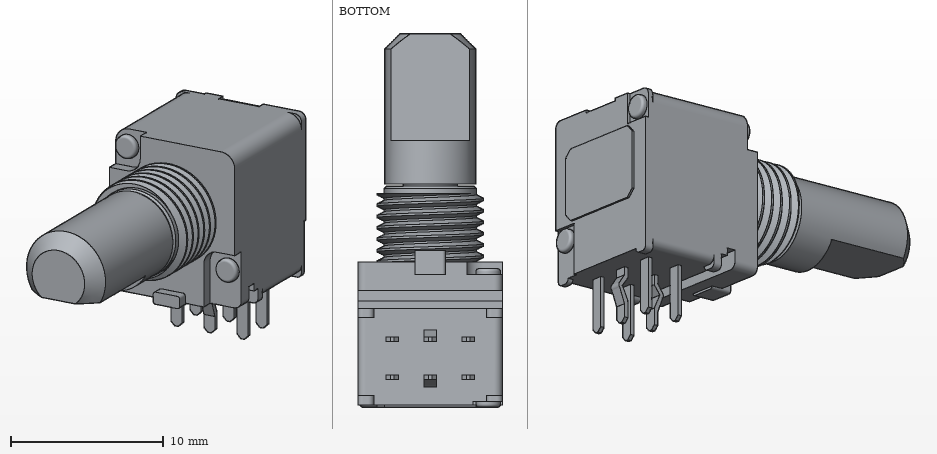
import cadquery as cq
import math


width = 9.5
half_width = width / 2
top_z = 4.84
bottom_z = -6.24
rear_y = 9.4
top_radius = 1.03
small_radius = 0.52
rear_band = 0.6
band_front_y = rear_y - rear_band

front_gap_y = 1.9
gap_step_y = 2.55
rear_gap_y = 3.05
front_gap_top = -4.98
rear_gap_top = -5.5
foot_length = 0.61
foot_width = 1.05
foot_drop = 0.32
foot_radius = 0.35

top_notch_width = 3.05
top_notch_depth = 0.2
rear_plate_height = 0.15
rear_plate_width = 7.02
rear_plate_length = 4.98
rear_plate_chamfer = 0.52
rear_pocket_x = 2.82
rear_pocket_z = 2.7
rear_pocket_depth = 0.22

rivet_x = 3.8
rivet_z = 3.63
rivet_radius = 0.8
rivet_rounding = 0.2
front_rivet_height = 0.4
front_pocket_x = 2.4
front_pocket_z = 2.23
front_pocket_depth = 0.83
pocket_radius = 1.03

key_width = 2.01
key_top = -5.55
key_bottom = -6.4
key_front_y = -0.74
key_rounding = 0.2

bushing_radius = 3.05
bushing_end_y = -4.98
bushing_chamfer = 0.17
thread_radius = 3.5
thread_length = 4.5
thread_turns = 6
thread_pitch = thread_length / thread_turns
thread_end_y = -thread_length
thread_first_crest = 0.37
thread_base_width = 0.66
thread_crest_width = 0.15
thread_overlap = 0.05

shaft_radius = 3.0
shaft_tip_y = -15.0
shaft_start_y = -5.1
shaft_chamfer = 1.0
neck_radius = 1.8
flat_z = -1.52
flat_start_y = -7.98

pin_pitch = 2.5
pin_width = 0.83
pin_thickness = 0.3
pin_front_y = 5.08
pin_rear_y = pin_front_y + pin_pitch
pin_bottom = -10.02
pin_tip_chamfer = 0.3
pin_root_depth = 0.25

kink_offset = 0.47
kink_top = -6.8
kink_bottom = -8.81
kink_inner_top = -6.95
kink_inner_bottom = -8.57
kink_peak_z = -7.55
kink_arc_half_length = 0.2
kink_arc_rise = 0.07

joint = 0.25


def box(x_range, y_range, z_range):
    """Box between the given limits."""
    (x0, x1), (y0, y1), (z0, z1) = x_range, y_range, z_range
    return cq.Workplane("XY").box(x1 - x0, y1 - y0, z1 - z0, centered=False).translate((x0, y0, z0))


def cylinder_y(radius, front_y, back_y):
    """Cylinder on the Y axis between two Y positions."""
    return cq.Workplane("XZ", origin=(0, back_y, 0)).circle(radius).extrude(back_y - front_y)


def half_turn(shape):
    """Copy of the shape turned half way round the shaft axis."""
    return shape.rotate((0, 0, 0), (0, 1, 0), 180)


def make_housing():
    across = (-half_width, half_width)
    upright = (bottom_z, top_z)
    main = box(across, (0, band_front_y), upright)
    main = main.edges("|Y and >Z").fillet(top_radius).edges("|Y and <Z").fillet(small_radius)
    band = box(across, (band_front_y, rear_y), upright).edges("|Y").fillet(small_radius)
    housing = main.union(band)

    for gap_front, gap_back, gap_top in (
        (front_gap_y, gap_step_y, front_gap_top),
        (gap_step_y, rear_gap_y, rear_gap_top),
    ):
        housing = housing.cut(box((-width, width), (gap_front, gap_back), (bottom_z - joint, gap_top)))

    top_notch = box(
        (-top_notch_width / 2, top_notch_width / 2),
        (band_front_y, rear_y),
        (top_z - top_notch_depth, top_z),
    )
    return housing.cut(top_notch)


def make_feet():
    feet = cq.Workplane("XY")
    foot_bottom = bottom_z - foot_drop
    for foot_front in (rear_gap_y, rear_y - foot_length):
        for left in (-half_width, half_width - foot_width):
            foot = box(
                (left, left + foot_width),
                (foot_front, foot_front + foot_length),
                (foot_bottom, bottom_z + small_radius),
            )
            feet = feet.union(foot.edges("|Y and <Z").fillet(foot_radius))
    return feet


def make_front_pocket():
    """Corner pocket on the -X, +Z side of the front face."""
    pocket = box((-width, -front_pocket_x), (0, front_pocket_depth), (front_pocket_z, width))
    return pocket.edges("|Y and >X and <Z").fillet(pocket_radius)


def make_front_pocket_pair():
    upper = make_front_pocket()
    return upper.union(half_turn(upper))


def make_rear_pocket_pair():
    upper = box((-width, -rear_pocket_x), (rear_y - rear_pocket_depth, rear_y), (rear_pocket_z, width))
    return upper.union(half_turn(upper))


def make_rivets():
    front_top_y = front_pocket_depth - front_rivet_height
    rear_top_y = rear_y + rear_plate_height
    rivet = cylinder_y(rivet_radius, front_top_y, rear_top_y).edges().fillet(rivet_rounding)
    rivet = rivet.translate((-rivet_x, 0, rivet_z))
    return rivet.union(half_turn(rivet))


def make_rear_plate():
    plate = cq.Workplane("XZ", origin=(0, rear_y - rear_pocket_depth, 0))
    plate = plate.rect(rear_plate_width, rear_plate_length)
    plate = plate.extrude(-(rear_pocket_depth + rear_plate_height))
    return plate.edges("|Y").chamfer(rear_plate_chamfer)


def make_key():
    key = box((-key_width / 2, key_width / 2), (key_front_y, front_pocket_depth), (key_bottom, key_top))
    return key.edges("|Y").fillet(key_rounding)


def make_thread():
    """Helical ridge, wound along Z and then laid down so that it advances toward -Y."""
    root_radius = bushing_radius - thread_overlap
    start = thread_first_crest - 2 * thread_pitch
    turns = math.ceil((thread_length - start) / thread_pitch) + 1
    length = turns * thread_pitch
    helix = cq.Wire.makeHelix(thread_pitch, length, root_radius)
    profile = [
        (root_radius, -thread_base_width / 2),
        (thread_radius, -thread_crest_width / 2),
        (thread_radius, thread_crest_width / 2),
        (root_radius, thread_base_width / 2),
    ]
    ridge = cq.Workplane("XZ").polyline(profile).close().sweep(cq.Workplane(helix), isFrenet=True)
    ridge = ridge.translate((0, 0, start)).rotate((0, 0, 0), (1, 0, 0), 90)
    return ridge.intersect(cylinder_y(thread_radius + joint, thread_end_y, joint))


def make_bushing():
    core = cylinder_y(bushing_radius, bushing_end_y, joint).faces("<Y").chamfer(bushing_chamfer)
    return core.union(make_thread())


def make_shaft():
    shaft = cylinder_y(shaft_radius, shaft_tip_y, shaft_start_y).faces("<Y").chamfer(shaft_chamfer)
    flat = box((-width, width), (shaft_tip_y, flat_start_y), (-width, flat_z))
    neck = cylinder_y(neck_radius, shaft_start_y - joint, bushing_end_y + joint)
    return shaft.cut(flat).union(neck)


def make_straight_pin(x, y):
    pin = box(
        (x - pin_width / 2, x + pin_width / 2),
        (y - pin_thickness / 2, y + pin_thickness / 2),
        (pin_bottom, rear_gap_top + pin_root_depth),
    )
    return pin.edges("|Y and <Z").chamfer(pin_tip_chamfer)


def make_kinked_pin(y, side):
    """Middle pin bent outward; side is -1 for a bend toward -Y and +1 toward +Y."""
    inner = y - side * pin_thickness / 2
    outer = y + side * pin_thickness / 2
    root_top = rear_gap_top + pin_root_depth
    peak = outer + side * kink_offset
    arc_end = peak - side * kink_arc_rise
    pin = (
        cq.Workplane("YZ")
        .moveTo(inner, root_top)
        .lineTo(outer, root_top)
        .lineTo(outer, kink_top)
        .lineTo(arc_end, kink_peak_z + kink_arc_half_length)
        .threePointArc((peak, kink_peak_z), (arc_end, kink_peak_z - kink_arc_half_length))
        .lineTo(outer, kink_bottom)
        .lineTo(outer, pin_bottom)
        .lineTo(inner, pin_bottom)
        .lineTo(inner, kink_inner_bottom)
        .lineTo(peak - side * pin_thickness, kink_peak_z)
        .lineTo(inner, kink_inner_top)
        .close()
        .extrude(pin_width / 2, both=True)
    )
    return pin.faces("<Z").edges("|Y").chamfer(pin_tip_chamfer)


def make_pins():
    pins = make_kinked_pin(pin_front_y, -1).union(make_kinked_pin(pin_rear_y, 1))
    for x in (-pin_pitch, pin_pitch):
        for y in (pin_front_y, pin_rear_y):
            pins = pins.union(make_straight_pin(x, y))
    return pins


result = (
    make_housing()
    .union(make_feet())
    .cut(make_front_pocket_pair())
    .cut(make_rear_pocket_pair())
    .union(make_rivets())
    .union(make_rear_plate())
    .union(make_key())
    .union(make_pins())
    .union(make_bushing())
    .union(make_shaft())
)